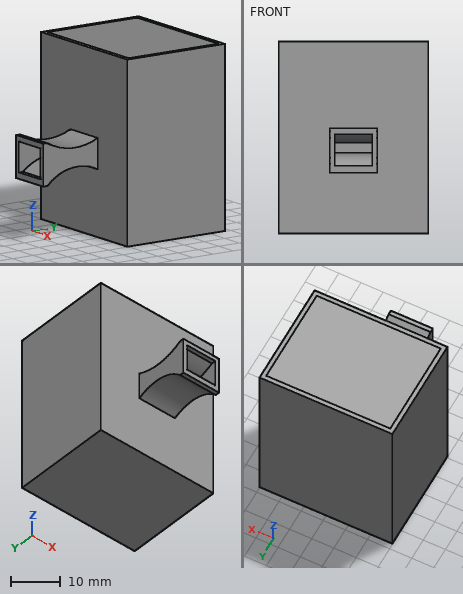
import cadquery as cq
import math

box_width = 30.0
box_depth = 24.0
box_height = 38.5
wall = 1.0

handle_length = 13.4
handle_width = 9.47
handle_wall = 1.0
rim_length = 1.0
rim_bottom = 12.2
rim_top = 21.05

upper_radius = 13.3
upper_waist_out = 5.62
lower_radius = 10.55
lower_waist_out = 5.0

rim_start_out = handle_length - rim_length


def arc_rise(radius, offset):
    """Height of a circle above its tangent line, at an offset from the tangent point."""
    return radius - math.sqrt(radius**2 - offset**2)


upper_waist_z = rim_top - arc_rise(upper_radius, rim_start_out - upper_waist_out)
lower_waist_z = rim_bottom + arc_rise(lower_radius, rim_start_out - lower_waist_out)


def handle_body(inset, width):
    """Waisted bar with both arcs moved inward by inset, keeping their centers."""
    upper_r = upper_radius + inset
    lower_r = lower_radius + inset

    def upper_z(out):
        return upper_waist_z - inset + arc_rise(upper_r, out - upper_waist_out)

    def lower_z(out):
        return lower_waist_z + inset - arc_rise(lower_r, out - lower_waist_out)

    return (
        cq.Workplane("YZ")
        .moveTo(0, lower_z(0))
        .lineTo(0, upper_z(0))
        .threePointArc(
            (-upper_waist_out, upper_z(upper_waist_out)),
            (-rim_start_out, upper_z(rim_start_out)),
        )
        .lineTo(-handle_length, upper_z(rim_start_out))
        .lineTo(-handle_length, lower_z(rim_start_out))
        .lineTo(-rim_start_out, lower_z(rim_start_out))
        .threePointArc(
            (-lower_waist_out, lower_z(lower_waist_out)),
            (0, lower_z(0)),
        )
        .close()
        .extrude(width / 2, both=True)
    )


def make_core():
    """Block that fills the housing flush with its top edge."""
    return (
        cq.Workplane("XY", origin=(0, box_depth / 2, wall))
        .rect(box_width - 2 * wall, box_depth - 2 * wall)
        .extrude(box_height - wall)
    )


def make_housing():
    """Open box and its hollow handle, whose bore ends at the front face."""
    box = cq.Workplane("XY", origin=(0, box_depth / 2, 0)).rect(box_width, box_depth).extrude(box_height)
    handle = handle_body(0, handle_width)
    bore = handle_body(handle_wall, handle_width - 2 * handle_wall)
    return box.cut(make_core()).union(handle.cut(bore))


housing = make_housing()
core = make_core()

result = cq.Compound.makeCompound([housing.val(), core.val()])